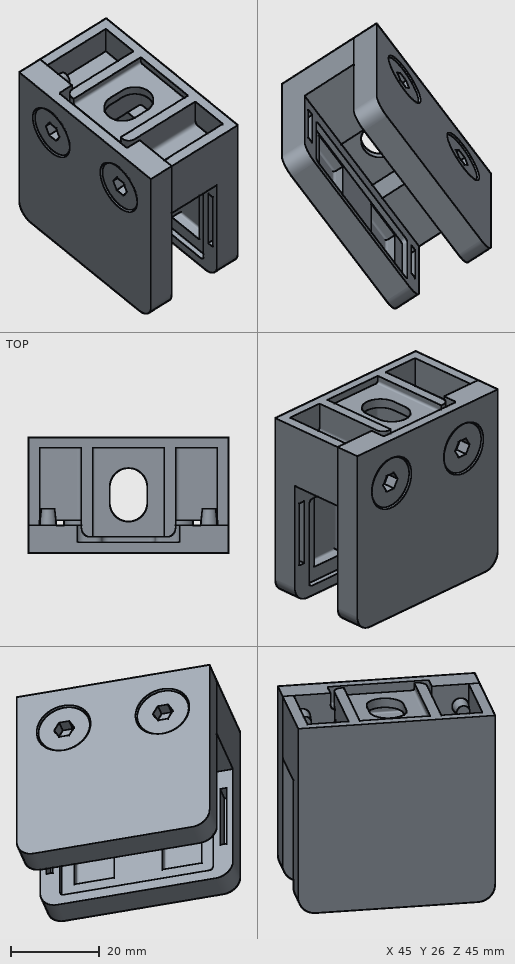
import cadquery as cq


width = 45.0
depth = 26.0
height = 45.0
jaw = 6.25
roof = 15.0
corner_radius = 4.0
leg_face = depth - jaw

back_wall = 2.3
side_wall = 2.5
rib_outer = 10.58
rib_inner = rib_outer - side_wall
pocket_y = depth - back_wall
pocket_x = width / 2 - side_wall
pocket_depth = 7.1
pocket_fillet = 1.0
block_setback = 1.12
block_front = jaw + block_setback
tray_depth = 1.75
tray_floor = 2.2
tray_fillet = 0.6
slot_width = 8.35
slot_length = 11.95
slot_y = 13.1

tongue_front = 3.65
tongue_depth = tray_depth + tray_floor
tongue_radius = 2.0
notch_half = 11.55
notch_front = 2.45
notch_clearance = 0.25
notch_depth = tongue_depth + notch_clearance
notch_step = 6.0
notch_radius = 1.5
notch_floor_fillet = 0.4

pad_half = 17.85
pad_top = 20.35
pad_bottom = 42.5
pad_depth = 1.35
pad_radius = 1.0
window_inner = 5.6
window_outer = 14.9
window_top = 21.15
window_bottom = 38.95
window_wall = 2.5
window_fillet = 0.55
groove_inner = 19.5
groove_outer = 21.0
groove_top = 20.0
groove_bottom = 35.78

peg_x = 18.1
peg_base_radius = 1.9
peg_tip_radius = 1.5
peg_length = 3.75
peg_z = peg_base_radius - pocket_depth

screw_x = 11.5
screw_z = -10.95
head_radius = 6.0
head_recess = 0.4
head_end = 4.0
mouth_radius = 6.3
shank_radius = 3.0
shank_end = 18.0
hex_corners = 4.65
hex_depth = 3.0


def block(x0, x1, y0, y1, z0, z1):
    """Box between two opposite corners."""
    return cq.Workplane("XY").box(x1 - x0, y1 - y0, z1 - z0, centered=False).translate((x0, y0, z0))


def cylinder_y(x, z, radius, y0, y1, end_radius=None):
    """Cylinder or cone along +Y."""
    base = cq.Workplane("XZ", origin=(x, y0, z)).circle(radius)
    if end_radius is None:
        return base.extrude(y0 - y1)
    return base.workplane(offset=y0 - y1).circle(end_radius).loft()


def both_sides(shape):
    """A cutter together with its mirror image in X."""
    return shape.union(shape.mirror("YZ"))


def jaw_slab(y0, y1):
    """Full-height slab with rounded lower corners."""
    slab = block(-width / 2, width / 2, y0, y1, -height, 0)
    return slab.edges("|Y and <Z").fillet(corner_radius)


def make_tongue():
    tongue = block(-rib_outer, rib_outer, tongue_front, jaw, -tongue_depth, 0)
    return tongue.edges("|Z and <Y").fillet(tongue_radius)


def side_pocket():
    """Pocket outside the right rib, with the gap in front of the screw block."""
    pocket = block(rib_outer, pocket_x, jaw, pocket_y, -pocket_depth, 0)
    pocket = pocket.edges("|Y and <Z and <X").fillet(pocket_fillet)
    gap = block(rib_outer, pocket_x, jaw, block_front, -roof, 0)
    return pocket.union(gap)


def tray():
    """Shallow tray between the ribs, open to the front."""
    cutter = block(-rib_inner, rib_inner, 0, pocket_y, -tray_depth, 0)
    return cutter.edges("|Y and <Z").fillet(tray_fillet)


def lower_cavity():
    """Space under the tray, open to the glass slot."""
    cutter = block(-rib_inner, rib_inner, jaw, pocket_y, -roof, -tongue_depth)
    return cutter.edges("|Z and >Y").fillet(tray_fillet)


def tray_slot():
    centre = cq.Workplane("XY").center(0, slot_y)
    return centre.slot2D(slot_length, slot_width, 90).extrude(-roof)


def pad_recess():
    """Recess for the rubber pad."""
    cutter = block(-pad_half, pad_half, leg_face, leg_face + pad_depth, -pad_bottom, -pad_top)
    return cutter.edges("|Y").fillet(pad_radius)


def window():
    """Deeper recess on the right half of the pad recess."""
    cutter = block(window_inner, window_outer, leg_face, depth - window_wall, -window_bottom, -window_top)
    return cutter.edges(">Y").fillet(window_fillet)


def end_groove():
    """Narrow upright groove beside the pad recess."""
    return block(groove_inner, groove_outer, leg_face, depth - window_wall, -groove_bottom, -groove_top)


def make_housing():
    body = block(-width / 2, width / 2, jaw, depth, -roof, 0)
    body = body.union(jaw_slab(leg_face, depth)).union(make_tongue())
    for cutter in (side_pocket(), window(), end_groove()):
        body = body.cut(both_sides(cutter))
    for cutter in (tray(), lower_cavity(), tray_slot(), pad_recess()):
        body = body.cut(cutter)
    return body.cut(both_sides(cylinder_y(screw_x, screw_z, shank_radius, jaw, shank_end)))


def tongue_notch():
    """Notch that receives the tongue: shallow at the ends, deeper between the screws."""
    corner_z = notch_radius - notch_depth
    step_z = -notch_depth - notch_radius
    outline = (
        cq.Workplane("XZ", origin=(0, notch_front, 0))
        .lineTo(notch_half, 0)
        .lineTo(notch_half, corner_z)
        .radiusArc((notch_half - notch_radius, -notch_depth), notch_radius)
        .lineTo(notch_step + notch_radius, -notch_depth)
        .radiusArc((notch_step, step_z), -notch_radius)
        .radiusArc((notch_step - notch_radius, step_z - notch_radius), notch_radius)
        .lineTo(0, step_z - notch_radius)
        .mirrorY()
    )
    cutter = outline.extrude(notch_front - jaw)
    return cutter.faces("<Y").edges("not >Z").fillet(notch_floor_fillet)


def make_plate():
    plate = jaw_slab(0, jaw).cut(tongue_notch())
    peg = cylinder_y(peg_x, peg_z, peg_base_radius, jaw, jaw + peg_length, peg_tip_radius)
    mouth = cylinder_y(screw_x, screw_z, mouth_radius, 0, head_recess, head_radius)
    counterbore = cylinder_y(screw_x, screw_z, head_radius, head_recess, head_end)
    shank_hole = cylinder_y(screw_x, screw_z, shank_radius, head_end, jaw)
    for cutter in (mouth, counterbore, shank_hole):
        plate = plate.cut(both_sides(cutter))
    return plate.union(peg).union(peg.mirror("YZ"))


def make_screw(x):
    head = cylinder_y(x, screw_z, head_radius, head_recess, head_end)
    shank = cylinder_y(x, screw_z, shank_radius, head_end, shank_end)
    hexagon = cq.Workplane("XZ", origin=(x, head_recess, screw_z)).polygon(6, hex_corners)
    socket = hexagon.extrude(-hex_depth)
    return head.union(shank).cut(socket)


housing = make_housing()
plate = make_plate()
screws = [make_screw(x) for x in (-screw_x, screw_x)]

result = cq.Compound.makeCompound([housing.val(), plate.val(), *[screw.val() for screw in screws]])